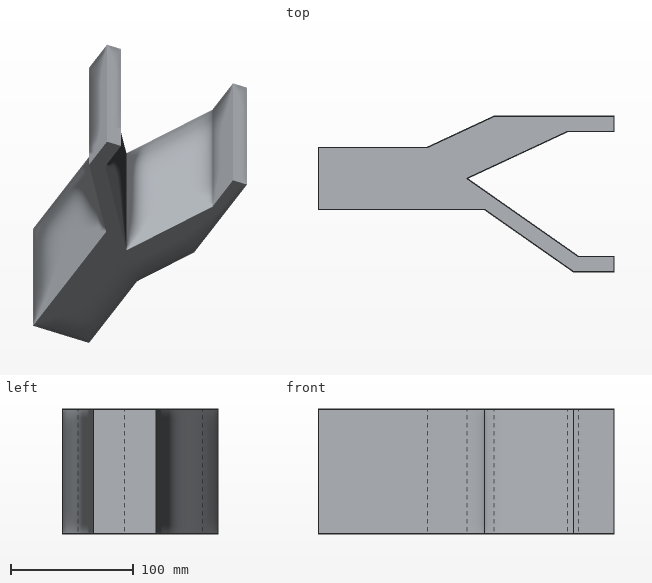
import cadquery as cq
import math

length = 241.3
height = 101.6
body_width = 50.8
arm_thickness = 12.7

upper_offset = 25.4
lower_offset = 50.8

upper_angle = math.radians(25)
lower_angle = math.radians(35)

upper_bend_x = 88.9
lower_bend_x = 135.6
crotch_x = 121.4

half_body = body_width / 2
upper_outer_y = half_body + upper_offset
upper_inner_y = upper_outer_y - arm_thickness
lower_outer_y = -half_body - lower_offset
lower_inner_y = lower_outer_y + arm_thickness


def run(rise, angle):
    """X distance covered by a slope that rises by the given amount."""
    return abs(rise) / math.tan(angle)


def fork_outline():
    """Closed outline of the fork: a straight body that splits into two cranked arms."""
    return [
        (0, -half_body),
        (lower_bend_x, -half_body),
        (lower_bend_x + run(lower_offset, lower_angle), lower_outer_y),
        (length, lower_outer_y),
        (length, lower_inner_y),
        (crotch_x + run(lower_inner_y, lower_angle), lower_inner_y),
        (crotch_x, 0),
        (crotch_x + run(upper_inner_y, upper_angle), upper_inner_y),
        (length, upper_inner_y),
        (length, upper_outer_y),
        (upper_bend_x + run(upper_offset, upper_angle), upper_outer_y),
        (upper_bend_x, half_body),
        (0, half_body),
    ]


result = cq.Workplane("XY").polyline(fork_outline()).close().extrude(height)